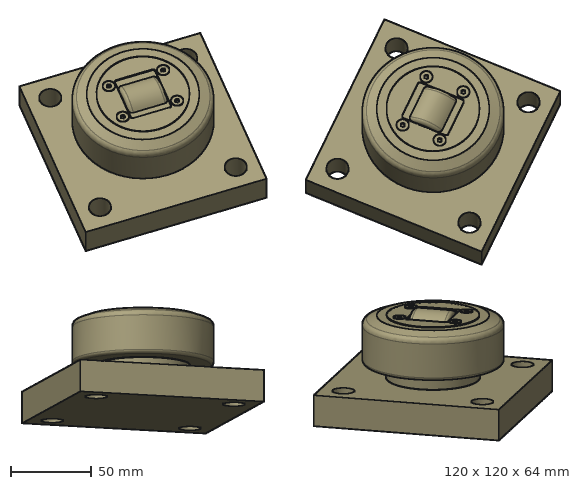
import cadquery as cq

plate_side = 120.0
plate_thickness = 20.0
bolt_spacing = 90.0
bolt_hole_diameter = 13.8

neck_diameter = 59.0
neck_chamfer = 0.5

roller_radius = 44.2
roller_bottom = 30.1
roller_shoulder = 56.9
roller_top = 60.2
roller_top_radius = 35.0
roller_bottom_fillet = 2.2
roller_shoulder_fillet = 4.0

cover_diameter = 58.0
cover_top = 60.8
window_length = 31.3
window_width = 26.6
window_corner_radius = 1.5
window_depth = 1.1

side_roller_top = 64.0
side_roller_radius = 16.5
side_roller_length = 26.2
side_roller_fillet = 2.5

screw_spacing_x = 25.2
screw_spacing_y = 36.0
screw_head_diameter = 7.8
screw_top = 61.3
socket_corner_diameter = 2.9
socket_depth = 1.5
socket_sides = 6


def make_plate():
    plate = cq.Workplane("XY").box(plate_side, plate_side, plate_thickness, centered=(True, True, False))
    bolt_points = plate.faces(">Z").workplane().rect(bolt_spacing, bolt_spacing, forConstruction=True).vertices()
    return bolt_points.hole(bolt_hole_diameter)


def make_neck():
    neck_height = roller_bottom - plate_thickness
    neck = cq.Workplane("XY").workplane(offset=plate_thickness).circle(neck_diameter / 2).extrude(neck_height)
    return neck.edges("%CIRCLE").chamfer(neck_chamfer)


def make_roller():
    profile = [
        (0, roller_bottom),
        (roller_radius, roller_bottom),
        (roller_radius, roller_shoulder),
        (roller_top_radius, roller_top),
        (0, roller_top),
    ]
    roller = cq.Workplane("XZ").polyline(profile).close().revolve(360, (0, 0), (0, 1))
    roller = roller.edges("%CIRCLE").edges(">>Z[-2]").fillet(roller_shoulder_fillet)
    return roller.faces("<Z").edges().fillet(roller_bottom_fillet)


def make_cover():
    return cq.Workplane("XY").workplane(offset=roller_top).circle(cover_diameter / 2).extrude(cover_top - roller_top)


def make_window():
    window = cq.Workplane("XY").workplane(offset=cover_top - window_depth)
    window = window.rect(window_length, window_width).extrude(window_depth)
    return window.edges("|Z").fillet(window_corner_radius)


def make_side_roller():
    side_roller = cq.Workplane("XZ").center(0, side_roller_top - side_roller_radius).circle(side_roller_radius)
    return side_roller.extrude(side_roller_length / 2, both=True).edges().fillet(side_roller_fillet)


def at_screws(height):
    plane = cq.Workplane("XY").workplane(offset=height)
    return plane.rect(screw_spacing_x, screw_spacing_y, forConstruction=True).vertices()


def make_screw_heads():
    return at_screws(roller_top).circle(screw_head_diameter / 2).extrude(screw_top - roller_top)


def make_screw_sockets():
    return at_screws(screw_top).polygon(socket_sides, socket_corner_diameter).extrude(-socket_depth)


result = make_plate().union(make_neck()).union(make_roller()).union(make_cover())
result = result.cut(make_window()).union(make_side_roller())
result = result.union(make_screw_heads()).cut(make_screw_sockets())